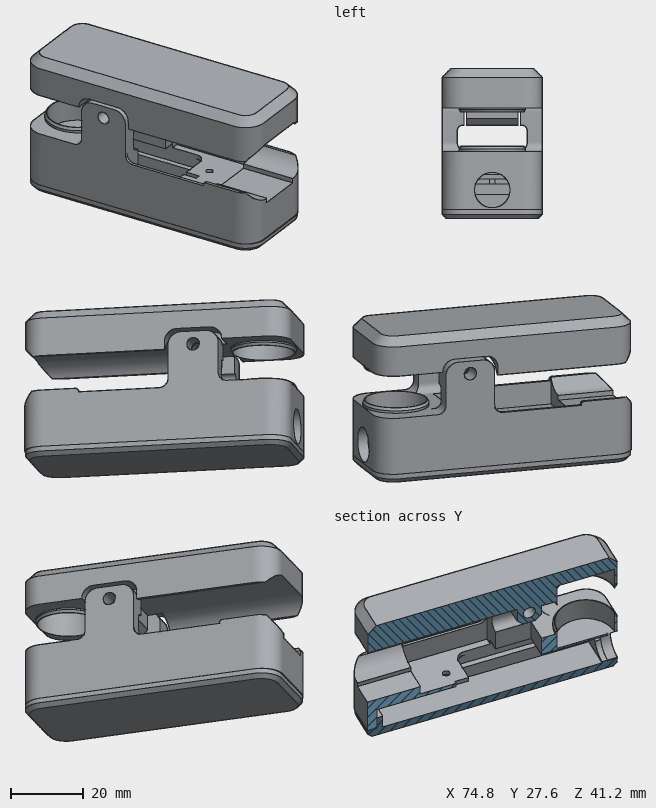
import cadquery as cq
import math

LENGTH = 74.75
SHORT_LENGTH = 74.5
WIDTH = 27.6
HEIGHT = 41.25
CORNER_RADIUS = 6.0
HALF_WIDTH = WIDTH / 2

PLATE_TOP = 2.55
HOUSING_TOP = 18.45
RAIL_TOP = 17.4
LID_BOTTOM = 28.2
LID_RAISED_BOTTOM = 30.4
LID_CHAMFER = 2.5
PLATE_CHAMFER = 1.2

HINGE_X = 26.3
HINGE_Z = 29.3
PIN_DIAMETER = 3.5
LUG_WIDTH = 14.1
LUG_TOP = 32.9
LUG_RADIUS = 3.5
LUG_ROOT_RADIUS = 2.5
LUG_INNER_Y = 7.7
LUG_CLEARANCE = 1.0
LUG_MIN_X = HINGE_X - LUG_WIDTH / 2
LUG_MAX_X = HINGE_X + LUG_WIDTH / 2
WINDOW_HALF_WIDTH = 9.6
WINDOW_TOP = 25.6
WINDOW_RADIUS = 1.5
TONGUE_HALF_WIDTH = 7.1
TONGUE_DEPTH = 3.65
TONGUE_CHAMFER = 1.9

CUP_X = 9.4
CUP_RIM_RADIUS = 9.1
CUP_INNER_RADIUS = 8.5
CUP_DEPTH = 6.95
CUP_FLOOR_THICKNESS = 0.75
HOUSING_RIM_TOP = 19.9
LID_RIM_BOTTOM = 29.2
RIM_CHAMFER_WIDTH = 0.45
RIM_CHAMFER_HEIGHT = 0.75

CHANNEL_START = 58.8
CHANNEL_DEPTH = 3.6
CHANNEL_HALF_WIDTH = 12.9
CHANNEL_FLAT_HALF_WIDTH = 6.7
SENSOR_SLOT_FLOOR = 13.5
RAIL_STEP_X = 58.5
RAIL_STEP_RADIUS = 0.8

SHELF_TOP = 10.8
SHELF_START = 44.1
DROP_START = 22.7
DROP_HALF_WIDTH = WINDOW_HALF_WIDTH - LUG_ROOT_RADIUS
SHELF_NOTCH_END = 48.1
SHELF_NOTCH_WIDTH = 1.5
SHELF_HOLE_X = 49.1
SHELF_HOLE_Y = 4.7
SHELF_HOLE_DIAMETER = 2.0

WALL = 3.0
CAVITY_RADIUS = CORNER_RADIUS - WALL
CUP_FLOOR = HOUSING_RIM_TOP - CUP_DEPTH
CAVITY_TOP = CUP_FLOOR - CUP_FLOOR_THICKNESS
SHELF_UNDERSIDE = 9.5
LIP_THICKNESS = 1.65
LIP_TOP = 6.6
CABLE_HOLE_Z = 7.85
CABLE_HOLE_DIAMETER = 9.7

DIAGONAL = math.sqrt(0.5)


def box(x_min, x_max, half_width, z_min, z_max):
    """Box symmetric about the mid-plane."""
    return cq.Workplane().box(
        x_max - x_min, 2 * half_width, z_max - z_min, centered=(False, True, False)
    ).translate((x_min, 0, z_min))


def rounded_block(x_min, x_max, half_width, z_min, z_max, radius):
    return box(x_min, x_max, half_width, z_min, z_max).edges("|Z").fillet(radius)


def cylinder_z(radius, x, y, z_min, z_max):
    return cq.Workplane("XY", origin=(x, y, z_min)).circle(radius).extrude(z_max - z_min)


def arc_middle(center_x, center_z, radius, side_x, side_z):
    """Middle point of a quarter arc lying on the given side of its center."""
    offset = radius * DIAGONAL
    return center_x + side_x * offset, center_z + side_z * offset


def across_width(outline):
    """Extrude an XZ outline over the full width."""
    return outline.extrude(HALF_WIDTH, both=True)


def pin_hole():
    axis = cq.Workplane("XZ", origin=(HINGE_X, 0, HINGE_Z))
    return across_width(axis.circle(PIN_DIAMETER / 2))


def cable_hole(x_end):
    start = cq.Workplane("YZ", origin=(0, 0, CABLE_HOLE_Z))
    return start.circle(CABLE_HOLE_DIAMETER / 2).extrude(x_end)


def channel(x_min, x_max, edge_z, floor_z):
    """Finger channel: a flat floor rising through tangent arcs to the rail edges at edge_z."""
    rise = edge_z - floor_z
    run = CHANNEL_HALF_WIDTH - CHANNEL_FLAT_HALF_WIDTH
    radius = (run**2 + rise**2) / (2 * abs(rise))
    half_angle = math.atan2(abs(rise), run)
    mid_y = CHANNEL_FLAT_HALF_WIDTH + radius * math.sin(half_angle)
    mid_z = floor_z + math.copysign(radius * (1 - math.cos(half_angle)), rise)
    section = (
        cq.Workplane("YZ", origin=(x_min, 0, 0))
        .moveTo(-CHANNEL_FLAT_HALF_WIDTH, floor_z)
        .lineTo(CHANNEL_FLAT_HALF_WIDTH, floor_z)
        .threePointArc((mid_y, mid_z), (CHANNEL_HALF_WIDTH, edge_z))
        .lineTo(-CHANNEL_HALF_WIDTH, edge_z)
        .threePointArc((-mid_y, mid_z), (-CHANNEL_FLAT_HALF_WIDTH, floor_z))
        .close()
    )
    return section.extrude(x_max - x_min)


def cup_rim(root_z, free_z):
    """Rim standing out of root_z, chamfered around its free edge."""
    rise = free_z - root_z
    shoulder = free_z - math.copysign(RIM_CHAMFER_HEIGHT, rise)
    section = (
        cq.Workplane("XZ", origin=(CUP_X, 0, 0))
        .moveTo(0, root_z)
        .lineTo(CUP_RIM_RADIUS, root_z)
        .lineTo(CUP_RIM_RADIUS, shoulder)
        .lineTo(CUP_RIM_RADIUS - RIM_CHAMFER_WIDTH, free_z)
        .lineTo(0, free_z)
        .close()
    )
    return section.revolve(360, (0, 0, 0), (0, 1, 0))


def housing_profile():
    """Side outline of the housing with its lugs, extruded over the width."""
    root = LUG_ROOT_RADIUS
    step = RAIL_STEP_RADIUS
    shoulder_z = LUG_TOP - LUG_RADIUS
    outline = (
        cq.Workplane("XZ")
        .moveTo(0, PLATE_TOP)
        .lineTo(LENGTH, PLATE_TOP)
        .lineTo(LENGTH, HOUSING_TOP)
        .lineTo(RAIL_STEP_X + step, HOUSING_TOP)
        .threePointArc(
            arc_middle(RAIL_STEP_X + step, HOUSING_TOP - step, step, -1, 1),
            (RAIL_STEP_X, HOUSING_TOP - step),
        )
        .lineTo(RAIL_STEP_X, RAIL_TOP)
        .lineTo(LUG_MAX_X + root, RAIL_TOP)
        .threePointArc(
            arc_middle(LUG_MAX_X + root, RAIL_TOP + root, root, -1, -1),
            (LUG_MAX_X, RAIL_TOP + root),
        )
        .lineTo(LUG_MAX_X, shoulder_z)
        .threePointArc(
            arc_middle(LUG_MAX_X - LUG_RADIUS, shoulder_z, LUG_RADIUS, 1, 1),
            (LUG_MAX_X - LUG_RADIUS, LUG_TOP),
        )
        .lineTo(LUG_MIN_X + LUG_RADIUS, LUG_TOP)
        .threePointArc(
            arc_middle(LUG_MIN_X + LUG_RADIUS, shoulder_z, LUG_RADIUS, -1, 1),
            (LUG_MIN_X, shoulder_z),
        )
        .lineTo(LUG_MIN_X, HOUSING_TOP + root)
        .threePointArc(
            arc_middle(LUG_MIN_X - root, HOUSING_TOP + root, root, 1, -1),
            (LUG_MIN_X - root, HOUSING_TOP),
        )
        .lineTo(0, HOUSING_TOP)
        .close()
    )
    return across_width(outline)


def lug_opening():
    """Opening that parts the two lugs: a wide rounded window below a narrower slot."""
    x_min = LUG_MIN_X - LUG_ROOT_RADIUS
    x_max = LUG_MAX_X + LUG_ROOT_RADIUS
    window = box(x_min, x_max, WINDOW_HALF_WIDTH, HOUSING_TOP, WINDOW_TOP)
    window = window.edges("|X and >Z").fillet(WINDOW_RADIUS)
    window = window.edges("|X and <Z").fillet(LUG_ROOT_RADIUS)
    slot = box(x_min, x_max, LUG_INNER_Y, WINDOW_TOP - WINDOW_RADIUS, LUG_TOP)
    return window.union(slot)


def board_recess():
    """Recess behind the lugs: board shelf, its notch and holes, and the drop to the cavity."""
    recess = box(LUG_MAX_X, CHANNEL_START, CHANNEL_HALF_WIDTH, SHELF_TOP, HOUSING_TOP + LUG_ROOT_RADIUS)
    drop = box(DROP_START, SHELF_START, DROP_HALF_WIDTH, SHELF_UNDERSIDE, HOUSING_TOP)
    notch = box(SHELF_START, SHELF_NOTCH_END, SHELF_NOTCH_WIDTH / 2, SHELF_UNDERSIDE, SHELF_TOP)
    recess = recess.union(drop).union(notch)
    for side in (-1, 1):
        hole = cylinder_z(
            SHELF_HOLE_DIAMETER / 2, SHELF_HOLE_X, side * SHELF_HOLE_Y, SHELF_UNDERSIDE, SHELF_TOP
        )
        recess = recess.union(hole)
    return recess


def lower_cavity():
    """Space under the cup and the shelf, open towards the bottom plate."""
    low = rounded_block(WALL, LENGTH - WALL, HALF_WIDTH - WALL, PLATE_TOP, SHELF_UNDERSIDE, CAVITY_RADIUS)
    high = rounded_block(WALL, SHELF_START, HALF_WIDTH - WALL, PLATE_TOP, CAVITY_TOP, CAVITY_RADIUS)
    return low.union(high)


def make_housing():
    envelope = rounded_block(0, LENGTH, HALF_WIDTH, 0, HEIGHT, CORNER_RADIUS)
    housing = housing_profile().intersect(envelope)
    housing = housing.cut(lug_opening()).cut(pin_hole())
    housing = housing.union(cup_rim(HOUSING_TOP, HOUSING_RIM_TOP))
    housing = housing.cut(cylinder_z(CUP_INNER_RADIUS, CUP_X, 0, CUP_FLOOR, HOUSING_RIM_TOP))
    housing = housing.cut(lower_cavity()).cut(board_recess())
    housing = housing.cut(channel(CHANNEL_START, LENGTH, HOUSING_TOP, HOUSING_TOP - CHANNEL_DEPTH))
    sensor_slot = box(CHANNEL_START, LENGTH, CHANNEL_FLAT_HALF_WIDTH, SENSOR_SLOT_FLOOR, HOUSING_TOP)
    return housing.cut(sensor_slot).cut(cable_hole(WALL))


def lug_pocket():
    """Clearance pockets in the lid around both lugs, leaving the middle for the tongue."""
    pocket = box(
        LUG_MIN_X - LUG_CLEARANCE, LUG_MAX_X + LUG_CLEARANCE, HALF_WIDTH,
        HINGE_Z - TONGUE_DEPTH, LUG_TOP + LUG_CLEARANCE,
    )
    pocket = pocket.edges("|Y and >Z").fillet(LUG_RADIUS)
    return pocket.cut(box(0, LENGTH, TONGUE_HALF_WIDTH, 0, HEIGHT))


def make_tongue():
    tongue = box(
        HINGE_X - TONGUE_DEPTH, HINGE_X + TONGUE_DEPTH, TONGUE_HALF_WIDTH,
        HINGE_Z - TONGUE_DEPTH, LUG_TOP,
    )
    return tongue.edges("|Y and <Z").chamfer(TONGUE_CHAMFER)


def make_lid():
    lid = rounded_block(0, SHORT_LENGTH, HALF_WIDTH, LID_BOTTOM, HEIGHT, CORNER_RADIUS)
    lid = lid.faces(">Z").edges().chamfer(LID_CHAMFER)
    lid = lid.cut(box(0, HINGE_X, HALF_WIDTH, LID_BOTTOM, LID_RAISED_BOTTOM))
    lid = lid.cut(channel(HINGE_X, SHORT_LENGTH, LID_BOTTOM, LID_BOTTOM + CHANNEL_DEPTH))
    lid = lid.cut(lug_pocket())
    lid = lid.union(make_tongue()).cut(pin_hole())
    lid = lid.union(cup_rim(LID_RAISED_BOTTOM, LID_RIM_BOTTOM))
    return lid.cut(cylinder_z(CUP_INNER_RADIUS, CUP_X, 0, LID_RIM_BOTTOM, LID_RIM_BOTTOM + CUP_DEPTH))


def make_bottom_plate():
    plate = rounded_block(0, SHORT_LENGTH, HALF_WIDTH, 0, PLATE_TOP, CORNER_RADIUS)
    plate = plate.faces("<Z").edges().chamfer(PLATE_CHAMFER)
    lip = rounded_block(WALL, LENGTH - WALL, HALF_WIDTH - WALL, PLATE_TOP, LIP_TOP, CAVITY_RADIUS)
    inset = WALL + LIP_THICKNESS
    lip = lip.cut(box(inset, LENGTH - inset, HALF_WIDTH - inset, PLATE_TOP, LIP_TOP))
    return plate.union(lip).cut(cable_hole(inset))


housing = make_housing()
lid = make_lid()
bottom_plate = make_bottom_plate()

result = cq.Compound.makeCompound([housing.val(), lid.val(), bottom_plate.val()])